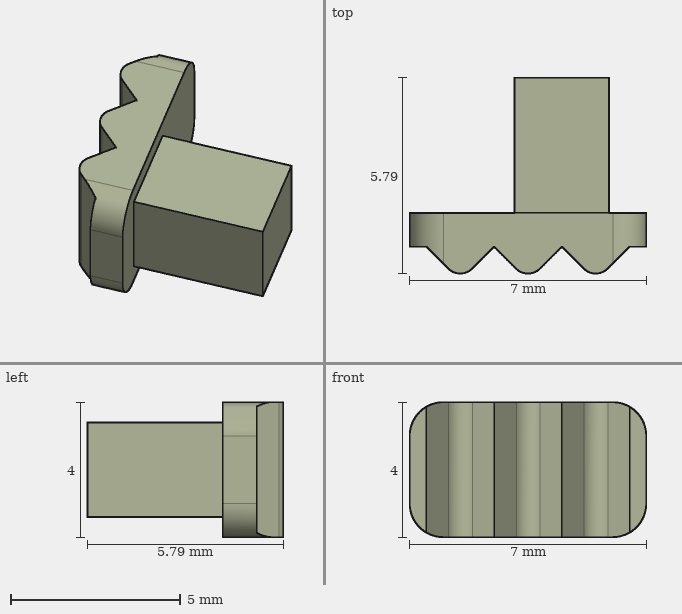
import cadquery as cq
import math

plate_width = 7.0
plate_height = 4.0
plate_thickness = 1.0
corner_radius = 1.0

ridge_count = 3
ridge_pitch = 2.0
crest_radius = 0.5

post_side = 2.8
post_length = 4.0
post_offset = 1.0

sharp_height = ridge_pitch / 2
crest_half_width = crest_radius * math.sin(math.pi / 4)
flank_height = sharp_height - crest_half_width
crest_height = sharp_height - crest_radius * (math.sqrt(2) - 1)


def make_grip():
    """Plate and ridges as one profile extruded along Z, with rounded corners."""
    half_width = plate_width / 2
    ridges_start = -ridge_count * ridge_pitch / 2
    profile = (
        cq.Workplane("XY")
        .moveTo(-half_width, plate_thickness)
        .lineTo(-half_width, 0)
        .lineTo(ridges_start, 0)
    )
    for index in range(ridge_count):
        valley = ridges_start + index * ridge_pitch
        crest = valley + ridge_pitch / 2
        profile = (
            profile.lineTo(crest - crest_half_width, -flank_height)
            .threePointArc((crest, -crest_height), (crest + crest_half_width, -flank_height))
            .lineTo(valley + ridge_pitch, 0)
        )
    profile = profile.lineTo(half_width, 0).lineTo(half_width, plate_thickness).close()
    grip = profile.extrude(plate_height / 2, both=True)

    envelope = (
        cq.Workplane("XZ", origin=(0, plate_thickness, 0))
        .rect(plate_width, plate_height)
        .extrude(plate_thickness + sharp_height)
        .edges("|Y")
        .fillet(corner_radius)
    )
    return grip.intersect(envelope)


def make_post():
    """Square post standing on the back face of the plate."""
    return (
        cq.Workplane("XZ", origin=(post_offset, plate_thickness, 0))
        .rect(post_side, post_side)
        .extrude(-post_length)
    )


result = make_grip().union(make_post())